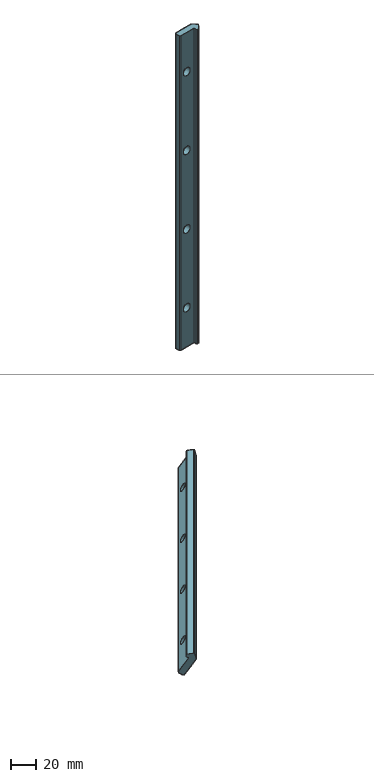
import cadquery as cq

length = 304.8
head_width = 8.8
depth = 22.0

shank_thickness = 5.8
point_height = 3.7
head_depth = 6.0
edge_chamfer = 0.75
tip_width = 1.0

hole_count = 4
hole_diameter = 7.5
hole_setback = 7.5
hole_pitch = length / hole_count

shoulder_y = depth - head_depth
point_base_y = depth - point_height
profile = [
    (edge_chamfer, 0),
    (shank_thickness - edge_chamfer, 0),
    (shank_thickness, edge_chamfer),
    (shank_thickness, shoulder_y),
    (head_width - edge_chamfer, shoulder_y),
    (head_width, shoulder_y + edge_chamfer),
    (head_width, point_base_y),
    ((head_width + tip_width) / 2, depth),
    ((head_width - tip_width) / 2, depth),
    (0, point_base_y),
    (0, edge_chamfer),
]
strip = cq.Workplane("XY").polyline(profile).close().extrude(length)

hole_centers = [(hole_setback, (i + 0.5) * hole_pitch) for i in range(hole_count)]
holes = cq.Workplane("YZ").pushPoints(hole_centers).circle(hole_diameter / 2).extrude(head_width)

result = strip.cut(holes)